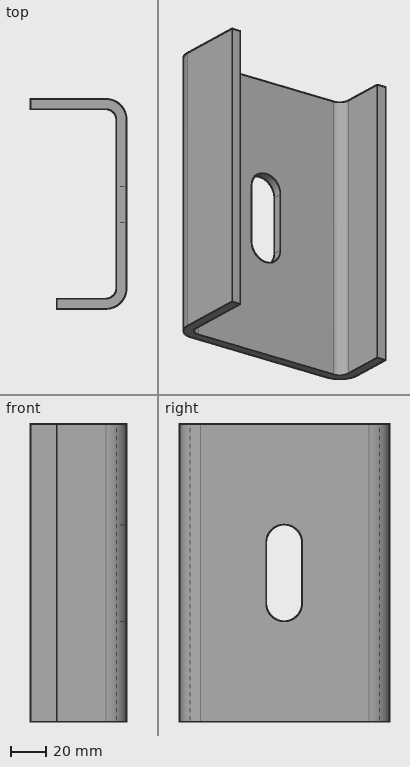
import cadquery as cq

thickness = 6.0
height = 170.0
width = 119.91
long_flange = 55.0
short_flange = 40.0
outer_bend_radius = 12.0
inner_bend_radius = outer_bend_radius - thickness

slot_length = 55.0
slot_width = 20.3
slot_center_y = -0.2


def make_rounded_block(front_x, block_width, bend_radius):
    """Full-height block from the long flange tip to front_x, rounded at its two +X corners."""
    depth = long_flange + front_x
    block = cq.Workplane("XY").box(depth, block_width, height)
    block = block.edges("|Z and >X").fillet(bend_radius)
    return block.translate((front_x - depth / 2, 0, 0))


def make_flange_trim():
    """Block that shortens the -Y flange."""
    trim_depth = long_flange - short_flange
    trim_width = width / 2
    return (
        cq.Workplane("XY")
        .box(trim_depth, trim_width, height)
        .translate((-short_flange - trim_depth / 2, -trim_width / 2, 0))
    )


def make_slot():
    """Round-ended cutter passing through the web along X."""
    return (
        cq.Workplane("YZ")
        .center(slot_center_y, 0)
        .slot2D(slot_length, slot_width, angle=90)
        .extrude(-thickness)
    )


outer_block = make_rounded_block(0, width, outer_bend_radius)
cavity = make_rounded_block(-thickness, width - 2 * thickness, inner_bend_radius)

channel = outer_block.cut(cavity).cut(make_flange_trim())
result = channel.cut(make_slot())